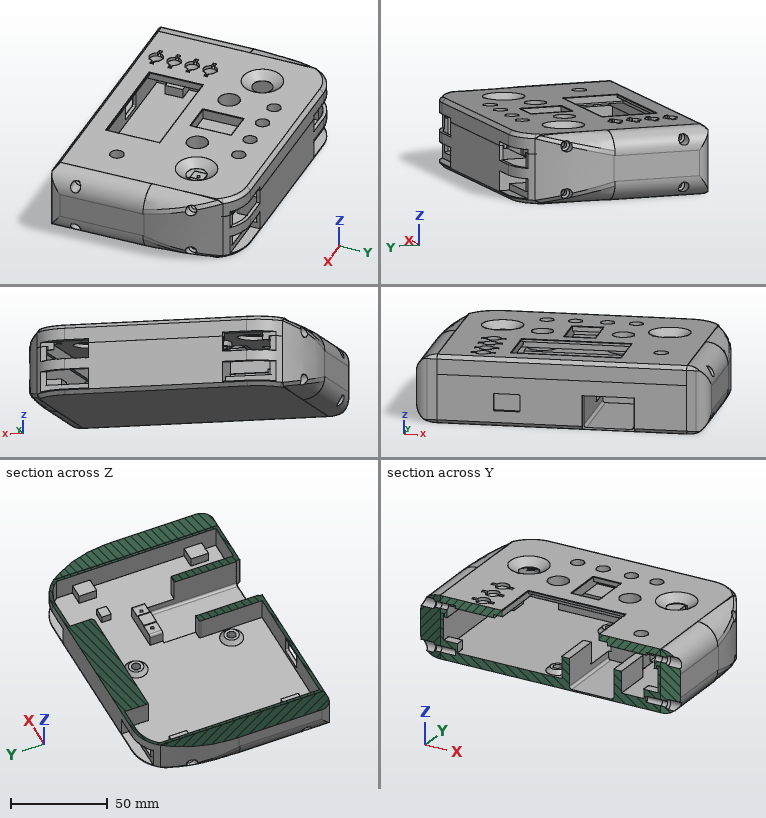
import cadquery as cq
import math

LENGTH = 155.35
WIDTH = 101.86
HEIGHT = 36.64
HALF_LENGTH = LENGTH / 2
HALF_WIDTH = WIDTH / 2
HALF_HEIGHT = HEIGHT / 2
EDGE_CHAMFER = 2.1

SPLIT_X = 65.75
SEAM_Z = 8.1
BACK_CORNER_RADIUS = 21.2
BACK_FLAT_HALF = 48.9
FRONT_CORNER_RADIUS = 6.9
GRIP_BEND_Y = 2.6
GRIP_CURVE_POWER = 2.35
GRIP_FLAT_HALF = 6.75
GRIP_ROUND = HALF_HEIGHT - GRIP_FLAT_HALF
GRIP_STRIP_TOP_Z = 9.3
GRIP_SECTION_COUNT = 9
GRIP_CORE_X = 60.0

WALL = 2.0
SKIRT = 4.0
LIP_OUTER_INSET = 2.4
LIP_HEIGHT = 1.8
PLATE_UNDERSIDE_Z = 12.65
FLOOR_Z = -12.3

SCREW_YS = (27.8, -35.9)
SCREW_Z = 12.5
SCREW_HEAD_DIAMETER = 5.5
SCREW_DIAMETER = 3.2
SCREW_SEAT_X = 70.0
SCREW_TIP_X = 57.0
SCREW_BOSS_X = 55.5
SCREW_BOSS_WIDTH = 10.0
SCREW_BOSS_TOP_Z = -7.0

STICK_X = 44.05
STICK_Y = 18.6
STICK_CONE_DIAMETER = 22.0
STICK_HOLE_DIAMETER = 11.0
STICK_CONE_DEPTH = 3.7
STICK_POCKET_DIAMETER = 17.0

LED_XS = (-23.6, -8.4, 8.4, 23.6)
LED_Y = 33.7
LED_DIAMETER = 7.3

BUTTON_X = 21.35
BUTTON_Y = 9.5
BUTTON_DIAMETER = 11.5
BUTTON_COLLAR_DIAMETER = 16.0
BUTTON_COLLAR_BOTTOM_Z = 9.9

SIDE_HOLE_CENTER = (47.6, -24.6)
SIDE_HOLE_DIAMETER = 7.5

KEYED_X = -43.25
KEYED_FIRST_Y = -10.4
KEYED_PITCH = 10.1
KEYED_COUNT = 4
KEYED_DIAMETER = 7.5
KEYED_INNER_DIAMETER = 4.7
KEYED_STRAIGHT_DEPTH = 1.8
KEYED_CONE_DEPTH = 2.4
KEYWAY_LENGTH = 12.6
KEYWAY_WIDTH = 1.75

WINDOW_CHAMFER = 0.3
DISPLAY_SIZE = (57.6, 29.8)
DISPLAY_CENTER = (0, -23.5)
DISPLAY_RIM_UNDERSIDE_Z = 14.5
DISPLAY_LEDGE_UNDERSIDE_Z = 16.8
DISPLAY_POCKET_MARGIN = 5.0
SCREEN_SIZE = (16.2, 22.6)
SCREEN_CENTER = (0, 11.6)
SCREEN_LEDGE_UNDERSIDE_Z = 15.6
SCREEN_POCKET_WIDTH = 5.0

SLOT_INNER_X = 36.0
SLOT_FRONT_Y = 45.4
SLOT_LEVELS = ((0.3, 10.2), (-15.7, -5.2))

PORT_X = (-36.0, -22.0)
PORT_Z = (-10.0, -0.8)
PORT_CORNER_RADIUS = 0.8

BAY_X = (11.3, 37.7)
BAY_FLOOR_Z = -17.2
BAY_TOP_Z = 0.2
BAY_BACK_Y = 4.85
BAY_FILLET = 1.4
BAY_RECESS_MARGIN = 0.6
BAY_RECESS_DEPTH = 2.1

RAIL_WIDTH = 4.7
RAIL_BACK_Y = -13.2
RAIL_CORNER_RADIUS = 0.8

TERMINAL_X = (12.7, 35.9)
TERMINAL_DEPTH = 7.3
TERMINAL_TOP_Z = -5.5
TERMINAL_CORNER_RADIUS = 1.4
TERMINAL_RAISED_X = (20.6, 28.2)
TERMINAL_RAISED_HEIGHT = 0.5
TERMINAL_HOLE_XS = (17.6, 31.0)
TERMINAL_HOLE_Y = 8.6
TERMINAL_HOLE_DIAMETER = 1.75
TERMINAL_HOLE_DEPTH = 4.0

BACK_BLOCK_X = (-36.0, 32.0)
BACK_BLOCK_FRONT_Y = 35.5
BACK_BLOCK_TOP_Z = 0.6
BACK_BLOCK_CORNER_RADIUS = 2.0

STANDOFF_YS = (-28.5, 26.0)
STANDOFF_BASE_DIAMETER = 12.4
STANDOFF_TOP_DIAMETER = 8.0
STANDOFF_HEIGHT = 2.2
STANDOFF_HOLE_DIAMETER = 4.7
STANDOFF_HOLE_DEPTH = 5.0

POST_X = (38.0, 44.2)
POST_Y = (22.6, 28.0)
POST_HEIGHT = 4.0


def box_between(x_range, y_range, z_range):
    """Box given by its low and high limits along each axis."""
    size = [high - low for low, high in (x_range, y_range, z_range)]
    low_corner = (x_range[0], y_range[0], z_range[0])
    return cq.Workplane().box(*size, centered=False).translate(low_corner)


def cylinder_down(diameter, top_z, bottom_z, center):
    """Vertical cylinder between two heights."""
    x, y = center
    return cq.Workplane("XY", origin=(x, y, bottom_z)).circle(diameter / 2).extrude(top_z - bottom_z)


def cone_down(top_diameter, bottom_diameter, top_z, bottom_z, center):
    """Vertical cone frustum between two heights."""
    x, y = center
    height = top_z - bottom_z
    cone = cq.Solid.makeCone(bottom_diameter / 2, top_diameter / 2, height, cq.Vector(x, y, bottom_z))
    return cq.Workplane(cone)


def back_corner_point(inset, x):
    """Point on the back corner arc of the outline, moved inward by inset."""
    radius = BACK_CORNER_RADIUS - inset
    center_y = HALF_WIDTH - BACK_CORNER_RADIUS
    return (x, center_y + math.sqrt(radius**2 - (x - BACK_FLAT_HALF) ** 2))


def mirrored(point):
    return (-point[0], point[1])


def shell_prism(inset, low_z, high_z):
    """Prism on the outline that the two shells share, moved inward by inset."""
    side_x = SPLIT_X - inset
    corner_end = back_corner_point(inset, side_x)
    corner_middle = back_corner_point(inset, (side_x + BACK_FLAT_HALF) / 2)
    corner_start = (BACK_FLAT_HALF, HALF_WIDTH - inset)
    front_y = -HALF_WIDTH + inset
    return (
        cq.Workplane("XY", origin=(0, 0, low_z))
        .moveTo(-side_x, front_y)
        .lineTo(side_x, front_y)
        .lineTo(*corner_end)
        .threePointArc(corner_middle, corner_start)
        .lineTo(*mirrored(corner_start))
        .threePointArc(mirrored(corner_middle), mirrored(corner_end))
        .close()
        .extrude(high_z - low_z)
    )


def case_form():
    """Outer form of the whole case: chamfered plan outline with rounded sides."""
    grip_start = (HALF_LENGTH, GRIP_BEND_Y)
    corner_end = back_corner_point(0, SPLIT_X)
    corner_middle = back_corner_point(0, (SPLIT_X + BACK_FLAT_HALF) / 2)
    corner_start = (BACK_FLAT_HALF, HALF_WIDTH)
    corner_angle = math.asin((SPLIT_X - BACK_FLAT_HALF) / BACK_CORNER_RADIUS)
    end_tangent = (-math.cos(corner_angle), math.sin(corner_angle))
    half_plan = (
        cq.Workplane("XY", origin=(0, 0, -HALF_HEIGHT))
        .moveTo(0, -HALF_WIDTH)
        .lineTo(HALF_LENGTH - FRONT_CORNER_RADIUS, -HALF_WIDTH)
        .radiusArc((HALF_LENGTH, -HALF_WIDTH + FRONT_CORNER_RADIUS), -FRONT_CORNER_RADIUS)
        .lineTo(*grip_start)
        .spline([corner_end], tangents=[(0, 1), end_tangent], includeCurrent=True)
        .threePointArc(corner_middle, corner_start)
        .lineTo(0, HALF_WIDTH)
        .close()
        .extrude(HEIGHT)
        .faces("|Z")
        .edges("not <X")
        .chamfer(EDGE_CHAMFER)
    )
    side_profile = (
        cq.Workplane("XY")
        .box(LENGTH, 2 * WIDTH, HEIGHT)
        .edges("|Y")
        .fillet(GRIP_ROUND)
    )
    plan = half_plan.union(half_plan.mirror("YZ"))
    return plan.intersect(side_profile)


def screw_holes(side):
    """Countersunk screw holes through one grip into the shells."""
    holes = cq.Workplane()
    seat_depth = (SCREW_HEAD_DIAMETER - SCREW_DIAMETER) / 2
    profile = [
        (SCREW_TIP_X, 0),
        (SCREW_TIP_X, SCREW_DIAMETER / 2),
        (SCREW_SEAT_X - seat_depth, SCREW_DIAMETER / 2),
        (SCREW_SEAT_X, SCREW_HEAD_DIAMETER / 2),
        (HALF_LENGTH, SCREW_HEAD_DIAMETER / 2),
        (HALF_LENGTH, 0),
    ]
    hole = cq.Workplane("XY").polyline(profile).close().revolve(360, (0, 0), (1, 0))
    if side < 0:
        hole = hole.mirror("YZ")
    for y in SCREW_YS:
        for z in (SCREW_Z, -SCREW_Z):
            holes = holes.add(hole.translate((0, y, z)))
    return holes.combine()


def back_slots():
    """Two levels of slots that open through both back corners."""
    slots = cq.Workplane()
    for z_range in SLOT_LEVELS:
        slot = box_between((SLOT_INNER_X, SPLIT_X), (SLOT_FRONT_Y, HALF_WIDTH), z_range)
        slots = slots.add(slot).add(slot.mirror("YZ"))
    return slots.combine()


def window(size, center):
    """Rectangular opening through the top plate, chamfered at the top."""
    depth = HALF_HEIGHT - PLATE_UNDERSIDE_Z
    opening = (
        cq.Workplane("XY", origin=(*center, PLATE_UNDERSIDE_Z))
        .rect(*size)
        .extrude(depth)
    )
    flare = (
        cq.Workplane("XY", origin=(*center, HALF_HEIGHT))
        .rect(size[0] + 2 * WINDOW_CHAMFER, size[1] + 2 * WINDOW_CHAMFER)
        .workplane(offset=-WINDOW_CHAMFER)
        .rect(*size)
        .loft()
    )
    return opening.union(flare)


def stick_hole(center):
    """Conical thumb-stick opening with a round pocket under it."""
    cone_bottom_z = HALF_HEIGHT - STICK_CONE_DEPTH
    cone = cone_down(STICK_CONE_DIAMETER, STICK_HOLE_DIAMETER, HALF_HEIGHT, cone_bottom_z, center)
    return cone.union(cylinder_down(STICK_POCKET_DIAMETER, cone_bottom_z, PLATE_UNDERSIDE_Z, center))


def keyed_hole(center):
    """Stepped round hole with a keyway across it."""
    cone_top_z = HALF_HEIGHT - KEYED_STRAIGHT_DEPTH
    cone_bottom_z = cone_top_z - KEYED_CONE_DEPTH
    keyway = (
        cq.Workplane("XY", origin=(*center, cone_top_z))
        .rect(KEYWAY_LENGTH, KEYWAY_WIDTH)
        .extrude(KEYED_STRAIGHT_DEPTH)
    )
    return (
        cylinder_down(KEYED_DIAMETER, HALF_HEIGHT, cone_top_z, center)
        .union(cone_down(KEYED_DIAMETER, KEYED_INNER_DIAMETER, cone_top_z, cone_bottom_z, center))
        .union(cylinder_down(KEYED_INNER_DIAMETER, cone_bottom_z, PLATE_UNDERSIDE_Z, center))
        .union(keyway)
    )


def plate_openings():
    """All openings through the top plate."""
    round_holes = [((x, LED_Y), LED_DIAMETER) for x in LED_XS]
    round_holes += [((x, BUTTON_Y), BUTTON_DIAMETER) for x in (-BUTTON_X, BUTTON_X)]
    round_holes.append((SIDE_HOLE_CENTER, SIDE_HOLE_DIAMETER))

    openings = window(DISPLAY_SIZE, DISPLAY_CENTER).add(window(SCREEN_SIZE, SCREEN_CENTER))
    for center, diameter in round_holes:
        openings = openings.add(cylinder_down(diameter, HALF_HEIGHT, PLATE_UNDERSIDE_Z, center))
    for x in (-STICK_X, STICK_X):
        openings = openings.add(stick_hole((x, STICK_Y)))
    for row in range(KEYED_COUNT):
        openings = openings.add(keyed_hole((KEYED_X, KEYED_FIRST_Y - row * KEYED_PITCH)))
    return openings.combine()


def display_pocket():
    """Recess under the plate around the display window, deeper along its front and back edges."""
    length, width = (side + 2 * DISPLAY_POCKET_MARGIN for side in DISPLAY_SIZE)
    base = cq.Workplane("XY", origin=(*DISPLAY_CENTER, PLATE_UNDERSIDE_Z))
    rim = base.rect(length, width).extrude(DISPLAY_RIM_UNDERSIDE_Z - PLATE_UNDERSIDE_Z)
    ledge = base.rect(DISPLAY_SIZE[0], width).extrude(DISPLAY_LEDGE_UNDERSIDE_Z - PLATE_UNDERSIDE_Z)
    return rim.union(ledge)


def screen_pocket():
    """Recess under the plate that thins the back edge of the screen window."""
    half_length = SCREEN_SIZE[0] / 2
    back_y = SCREEN_CENTER[1] + SCREEN_SIZE[1] / 2
    return box_between(
        (-half_length, half_length),
        (back_y, back_y + SCREEN_POCKET_WIDTH),
        (PLATE_UNDERSIDE_Z, SCREEN_LEDGE_UNDERSIDE_Z),
    )


def button_collars():
    """Collars under the plate that guide the two push buttons."""
    collars = cq.Workplane()
    for x in (-BUTTON_X, BUTTON_X):
        center = (x, BUTTON_Y)
        collar = cylinder_down(BUTTON_COLLAR_DIAMETER, PLATE_UNDERSIDE_Z, BUTTON_COLLAR_BOTTOM_Z, center)
        bore = cylinder_down(BUTTON_DIAMETER, PLATE_UNDERSIDE_Z, BUTTON_COLLAR_BOTTOM_Z, center)
        collars = collars.add(collar.cut(bore))
    return collars.combine()


def make_top_shell(form):
    """Plate with a skirt, and a lip that reaches into the bottom shell."""
    lip_bottom_z = SEAM_Z - LIP_HEIGHT
    lip = shell_prism(LIP_OUTER_INSET, lip_bottom_z, SEAM_Z)
    return (
        form.intersect(shell_prism(0, SEAM_Z, HALF_HEIGHT))
        .union(lip)
        .cut(shell_prism(SKIRT, lip_bottom_z, PLATE_UNDERSIDE_Z))
        .cut(display_pocket())
        .cut(screen_pocket())
        .union(button_collars())
        .cut(plate_openings())
        .cut(back_slots())
        .cut(screw_holes(1))
        .cut(screw_holes(-1))
    )


def terminal_block():
    """Connector block at the back end of the bay."""
    y_range = (BAY_BACK_Y, BAY_BACK_Y + TERMINAL_DEPTH)
    block = (
        box_between(TERMINAL_X, y_range, (FLOOR_Z, TERMINAL_TOP_Z))
        .edges("|Y and >Z")
        .fillet(TERMINAL_CORNER_RADIUS)
    )
    raised_z = (TERMINAL_TOP_Z, TERMINAL_TOP_Z + TERMINAL_RAISED_HEIGHT)
    block = block.union(box_between(TERMINAL_RAISED_X, y_range, raised_z))
    for x in TERMINAL_HOLE_XS:
        hole_bottom_z = TERMINAL_TOP_Z - TERMINAL_HOLE_DEPTH
        hole = cylinder_down(TERMINAL_HOLE_DIAMETER, TERMINAL_TOP_Z, hole_bottom_z, (x, TERMINAL_HOLE_Y))
        block = block.cut(hole)
    return block


def bay_rails():
    """Two rails along the sides of the bay."""
    rails = cq.Workplane()
    rail_y = (-HALF_WIDTH + WALL, RAIL_BACK_Y)
    for x_range, outer_edge in (
        ((BAY_X[0] - RAIL_WIDTH, BAY_X[0]), "<X"),
        ((BAY_X[1], BAY_X[1] + RAIL_WIDTH), ">X"),
    ):
        rail = box_between(x_range, rail_y, (FLOOR_Z, BAY_TOP_Z))
        rails = rails.add(rail.edges("|Z and >Y").edges(outer_edge).fillet(RAIL_CORNER_RADIUS))
    return rails.combine()


def back_block():
    """Long block between the back slots."""
    return (
        box_between(BACK_BLOCK_X, (BACK_BLOCK_FRONT_Y, HALF_WIDTH - WALL), (FLOOR_Z, BACK_BLOCK_TOP_Z))
        .edges("|Z and >X and <Y")
        .fillet(BACK_BLOCK_CORNER_RADIUS)
    )


def screw_bosses():
    """Pads on the side walls that take the lower grip screws."""
    bosses = cq.Workplane()
    for y in SCREW_YS:
        y_range = (y - SCREW_BOSS_WIDTH / 2, y + SCREW_BOSS_WIDTH / 2)
        boss = box_between((SCREW_BOSS_X, SPLIT_X), y_range, (FLOOR_Z, SCREW_BOSS_TOP_Z))
        bosses = bosses.add(boss).add(boss.mirror("YZ"))
    return bosses.combine()


def bay_opening():
    """Channel from the front wall to the terminal block, with a wider recess in the wall."""
    front_y = -HALF_WIDTH
    channel = (
        box_between(BAY_X, (front_y, BAY_BACK_Y), (BAY_FLOOR_Z, BAY_TOP_Z))
        .edges("|Y and <Z")
        .fillet(BAY_FILLET)
    )
    recess_x = (BAY_X[0] - BAY_RECESS_MARGIN, BAY_X[1] + BAY_RECESS_MARGIN)
    recess = box_between(recess_x, (front_y, front_y + BAY_RECESS_DEPTH), (-HALF_HEIGHT, BAY_TOP_Z))
    return channel.union(recess)


def port_opening():
    """Small rounded opening through the front wall."""
    return (
        box_between(PORT_X, (-HALF_WIDTH, -HALF_WIDTH + WALL), PORT_Z)
        .edges("|Y")
        .fillet(PORT_CORNER_RADIUS)
    )


def make_bottom_shell(form):
    """Tray with a thick floor that carries the internal supports."""
    shell = (
        form.intersect(shell_prism(0, -HALF_HEIGHT, SEAM_Z))
        .cut(shell_prism(WALL, FLOOR_Z, SEAM_Z))
        .union(terminal_block())
        .union(bay_rails())
        .union(back_block())
        .union(screw_bosses())
        .union(box_between(POST_X, POST_Y, (FLOOR_Z, FLOOR_Z + POST_HEIGHT)))
    )
    standoff_top_z = FLOOR_Z + STANDOFF_HEIGHT
    hole_bottom_z = standoff_top_z - STANDOFF_HOLE_DEPTH
    for y in STANDOFF_YS:
        cone = cone_down(STANDOFF_TOP_DIAMETER, STANDOFF_BASE_DIAMETER, standoff_top_z, FLOOR_Z, (0, y))
        hole = cylinder_down(STANDOFF_HOLE_DIAMETER, standoff_top_z, hole_bottom_z, (0, y))
        shell = shell.union(cone).cut(hole)
    return (
        shell.cut(bay_opening())
        .cut(port_opening())
        .cut(back_slots())
        .cut(screw_holes(1))
        .cut(screw_holes(-1))
    )


def blend(start, end, share):
    """Point part of the way from one point to another."""
    return tuple(a + (b - a) * share for a, b in zip(start, end))


def grip_section(share):
    """Section of the +X grip behind its bend: share is 0 at the bend and 1 at the back end."""
    round_center_x = HALF_LENGTH - GRIP_ROUND
    strip_angle = math.asin((GRIP_STRIP_TOP_Z - GRIP_FLAT_HALF) / GRIP_ROUND)
    bend_strip_x = round_center_x + GRIP_ROUND * math.cos(strip_angle)
    wall_x = HALF_LENGTH - (HALF_LENGTH - SPLIT_X) * share**GRIP_CURVE_POWER

    top = blend((round_center_x, HALF_HEIGHT), (SPLIT_X - 2 * EDGE_CHAMFER, HALF_HEIGHT), share)
    strip_inset, strip_z = blend(
        (HALF_LENGTH - bend_strip_x, GRIP_STRIP_TOP_Z), (EDGE_CHAMFER, HALF_HEIGHT), share
    )
    strip = (wall_x - strip_inset, strip_z)
    wall = (wall_x, GRIP_FLAT_HALF + (HALF_HEIGHT - EDGE_CHAMFER - GRIP_FLAT_HALF) * share)

    bulge_angle = (strip_angle + math.pi / 2) / 2
    bulge = GRIP_ROUND * (1 - math.cos(math.pi / 2 - bulge_angle)) * (1 - share)
    chord_middle = blend(top, strip, 0.5)
    middle = (
        chord_middle[0] + bulge * math.cos(bulge_angle),
        chord_middle[1] + bulge * math.sin(bulge_angle),
    )
    return top, middle, strip, wall


def grip_back():
    """Back part of the +X grip, lofted from a round side to a chamfered one."""
    y_end = back_corner_point(0, SPLIT_X)[1]
    wires = []
    for index in range(GRIP_SECTION_COUNT):
        share = index / (GRIP_SECTION_COUNT - 1)
        y = GRIP_BEND_Y + (y_end - GRIP_BEND_Y) * share
        top, middle, strip, wall = grip_section(share)
        section = (
            cq.Workplane("XZ", origin=(0, y, 0))
            .moveTo(GRIP_CORE_X, -HALF_HEIGHT)
            .lineTo(top[0], -top[1])
            .spline([(middle[0], -middle[1]), (strip[0], -strip[1])], includeCurrent=True)
            .lineTo(wall[0], -wall[1])
            .lineTo(*wall)
            .lineTo(*strip)
            .spline([middle, top], includeCurrent=True)
            .lineTo(GRIP_CORE_X, HALF_HEIGHT)
            .close()
        )
        wires.append(section.val())
    return cq.Workplane(cq.Solid.makeLoft(wires))


def make_grip(form, side):
    """Rounded side grip; side is 1 at +X and -1 at -X."""
    x_range = (SPLIT_X, HALF_LENGTH)
    z_range = (-HALF_HEIGHT, HALF_HEIGHT)
    front = form.intersect(box_between(x_range, (-HALF_WIDTH, GRIP_BEND_Y), z_range))
    back = grip_back().intersect(box_between(x_range, (GRIP_BEND_Y, HALF_WIDTH), z_range))
    grip = front.union(back)
    if side < 0:
        grip = grip.mirror("YZ")
    return grip.cut(screw_holes(side))


case = case_form()
top_shell = make_top_shell(case)
bottom_shell = make_bottom_shell(case)
grips = [make_grip(case, side) for side in (-1, 1)]

bodies = [top_shell, bottom_shell, *grips]

result = cq.Compound.makeCompound([body.solids().val() for body in bodies])